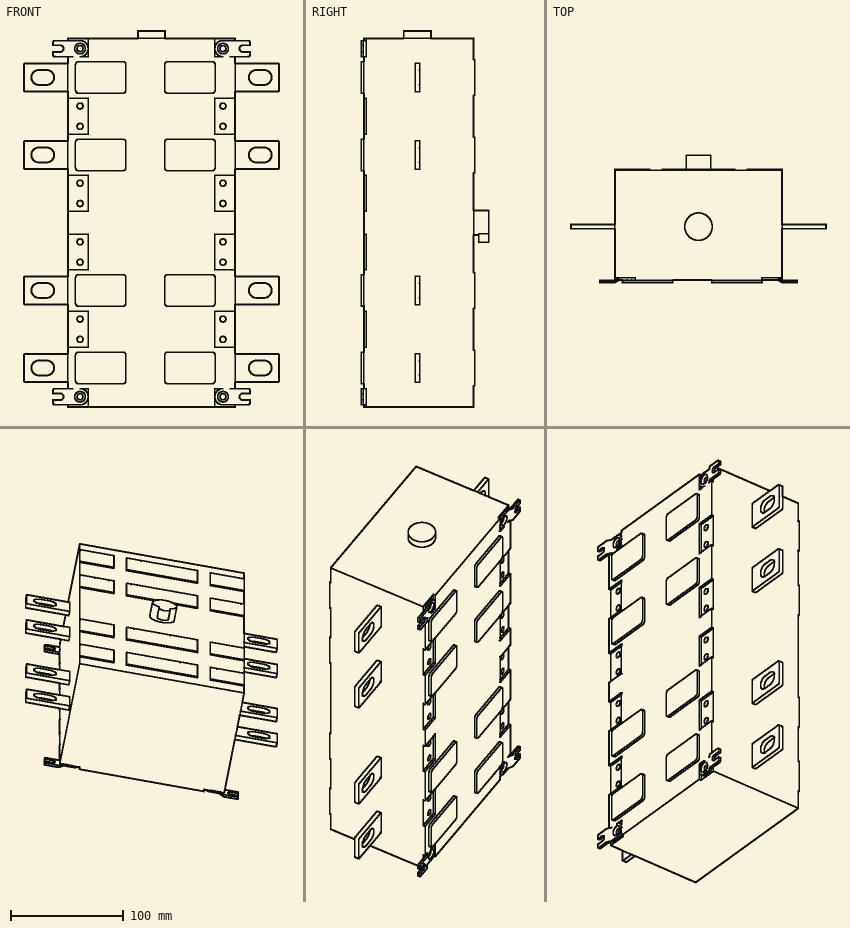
import cadquery as cq

BODY_WIDTH = 149.0
BODY_DEPTH = 97.8
BODY_HEIGHT = 328.3
SIDE = BODY_WIDTH / 2
MID_Z = BODY_HEIGHT / 2
OVERALL_WIDTH = 227.0
OVERALL_HEIGHT = 335.0

POLE_OFFSETS = (-129.3, -60.3, 60.3, 129.3)
POLE_HEIGHTS = [MID_Z + offset for offset in POLE_OFFSETS]

BAR_HEIGHT = 25.0
BAR_THICKNESS = 4.0
BAR_CORNER_RADIUS = 1.0
BAR_SLOT_LENGTH = 20.0
BAR_SLOT_HEIGHT = 13.0
BAR_SLOT_X = 96.8
AXIS_Y = 47.5

TOP_BOSS_DIAMETER = 24.5

PLATE_WIDTH = 45.0
PLATE_HEIGHT = 28.0
PLATE_RAISE = 2.5
PLATE_CORNER_RADIUS = 2.7
PLATE_CENTRES_X = (-45.2, 34.2)

BAND_HEIGHT = 31.8
BAND_RAISE = 1.0
BAND_GAP_WIDTH = 11.5
BAND_GAP_X = 38.0

RECESS_WIDTH = 18.0
RECESS_HEIGHT = 31.8
RECESS_DEPTH = 2.0
RECESS_OFFSETS = (-94.8, -26.0, 26.0, 94.8)
RECESS_HOLE_DIAMETER = 5.5
RECESS_HOLE_DEPTH = 3.5
RECESS_HOLE_SPACING = 18.0
HOLE_X = 63.5

FOOT_HEIGHT = 14.5
FOOT_END_GAP = 2.0
FOOT_TIP_X = 87.8
FOOT_JOGGLE_OUTER_X = 74.7
FOOT_JOGGLE_INNER_X = 70.7
FOOT_BEND_RADIUS = 2.5
FOOT_THICKNESS = RECESS_DEPTH
FOOT_TIP_RADIUS = 1.7
FOOT_END_RADIUS = 7.0
FOOT_FORK_WIDTH = 5.7
FOOT_FORK_END_X = 78.5
FOOT_HOLE_DIAMETER = 5.5
FOOT_SINK_DIAMETER = 9.5
POCKET_HEIGHT = FOOT_END_GAP + FOOT_HEIGHT

KNOB_DIAMETER = 22.0
KNOB_LENGTH = 13.5
POINTER_WIDTH = 10.0
POINTER_REACH = 17.5
POINTER_THICKNESS = 9.0


def block(x_range, y_range, z_range):
    """Box spanning the given ranges."""
    (x0, x1), (y0, y1), (z0, z1) = x_range, y_range, z_range
    return cq.Workplane("XY").box(x1 - x0, y1 - y0, z1 - z0, centered=False).translate((x0, y0, z0))


def facing_back(y):
    """XZ sketch plane at depth y whose extrusions run toward +Y; sketch y is -Z."""
    return cq.Workplane(cq.Plane(origin=(0, y, 0), xDir=(1, 0, 0), normal=(0, 1, 0)))


def disc(x, y, z, diameter, length):
    """Cylinder along +Y whose near end is centred on the given point."""
    return facing_back(y).center(x, -z).circle(diameter / 2).extrude(length)


def terminal_bars(z):
    """Bar through the housing, slotted at both projecting ends."""
    bar = cq.Workplane("XY").box(OVERALL_WIDTH, BAR_THICKNESS, BAR_HEIGHT)
    bar = bar.edges("|Y").fillet(BAR_CORNER_RADIUS)
    slots = (
        facing_back(-BAR_THICKNESS)
        .pushPoints([(-BAR_SLOT_X, 0), (BAR_SLOT_X, 0)])
        .slot2D(BAR_SLOT_LENGTH, BAR_SLOT_HEIGHT)
        .extrude(2 * BAR_THICKNESS)
    )
    return bar.cut(slots).translate((0, AXIS_Y, z))


def front_plates(z):
    """Pair of rounded plates on the front face; they start inside the housing."""
    plates = (
        facing_back(-PLATE_RAISE)
        .pushPoints([(x, -z) for x in PLATE_CENTRES_X])
        .rect(PLATE_WIDTH, PLATE_HEIGHT)
        .extrude(2 * PLATE_RAISE)
    )
    return plates.edges("|Y").fillet(PLATE_CORNER_RADIUS)


def back_band(z):
    """Raised band across the back face with its two gaps cut out."""
    y_range = (BODY_DEPTH, BODY_DEPTH + BAND_RAISE)
    z_range = (z - BAND_HEIGHT / 2, z + BAND_HEIGHT / 2)
    band = block((-SIDE, SIDE), y_range, z_range)
    for x in (-BAND_GAP_X, BAND_GAP_X):
        gap = (x - BAND_GAP_WIDTH / 2, x + BAND_GAP_WIDTH / 2)
        band = band.cut(block(gap, y_range, z_range))
    return band


def right_recess(z):
    """Cutter for one recess and its two holes at the +X edge."""
    z_range = (z - RECESS_HEIGHT / 2, z + RECESS_HEIGHT / 2)
    cutter = block((SIDE - RECESS_WIDTH, SIDE), (0, RECESS_DEPTH), z_range)
    for dz in (-RECESS_HOLE_SPACING / 2, RECESS_HOLE_SPACING / 2):
        cutter = cutter.union(
            disc(HOLE_X, 0, z + dz, RECESS_HOLE_DIAMETER, RECESS_DEPTH + RECESS_HOLE_DEPTH)
        )
    return cutter


def top_right_foot():
    """Joggled sheet-metal foot with a forked outer end and a countersunk inner end."""
    z = BODY_HEIGHT - FOOT_END_GAP - FOOT_HEIGHT / 2
    inner_x = SIDE - RECESS_WIDTH
    seat_y = RECESS_DEPTH
    seat_front_y = seat_y - FOOT_THICKNESS
    arm_front_y = -PLATE_RAISE
    arm_back_y = arm_front_y + FOOT_THICKNESS
    foot = (
        cq.Workplane("XY")
        .polyline([
            (inner_x, seat_y),
            (FOOT_JOGGLE_INNER_X, seat_y),
            (FOOT_JOGGLE_OUTER_X, arm_back_y),
            (FOOT_TIP_X, arm_back_y),
            (FOOT_TIP_X, arm_front_y),
            (FOOT_JOGGLE_OUTER_X, arm_front_y),
            (FOOT_JOGGLE_INNER_X, seat_front_y),
            (inner_x, seat_front_y),
        ])
        .close()
        .extrude(FOOT_HEIGHT)
        .translate((0, 0, z - FOOT_HEIGHT / 2))
    )
    bends = foot.edges("|Z").edges(
        cq.selectors.BoxSelector(
            (FOOT_JOGGLE_INNER_X - FOOT_THICKNESS, arm_front_y - FOOT_THICKNESS, z - FOOT_HEIGHT),
            (FOOT_JOGGLE_OUTER_X + FOOT_THICKNESS, seat_y + FOOT_THICKNESS, z + FOOT_HEIGHT),
        )
    )
    foot = bends.fillet(FOOT_BEND_RADIUS)
    foot = foot.edges("|Y and >X").fillet(FOOT_TIP_RADIUS)
    foot = foot.edges("|Y and <X").fillet(FOOT_END_RADIUS)

    fork_radius = FOOT_FORK_WIDTH / 2
    fork_x = FOOT_FORK_END_X + fork_radius
    fork_y = (arm_front_y, arm_back_y)
    fork = block((fork_x, FOOT_TIP_X), fork_y, (z - fork_radius, z + fork_radius))
    fork = fork.union(disc(fork_x, arm_front_y, z, FOOT_FORK_WIDTH, FOOT_THICKNESS))

    countersink = (
        facing_back(seat_front_y)
        .center(HOLE_X, -z)
        .circle(FOOT_SINK_DIAMETER / 2)
        .workplane(offset=FOOT_THICKNESS)
        .circle(FOOT_HOLE_DIAMETER / 2)
        .loft()
    )
    return foot.cut(fork).cut(countersink)


def at_both_sides(shape):
    """The shape together with its mirror image across the YZ plane."""
    return shape.union(shape.mirror("YZ"))


def at_four_corners(shape):
    """The shape repeated at the other three corners of the front face."""
    pair = at_both_sides(shape)
    return pair.union(pair.mirror("XY", (0, 0, MID_Z)))


def knob():
    """Round knob with a round-ended pointer flush with its outer end."""
    outer_y = BODY_DEPTH + KNOB_LENGTH
    pointer_y = outer_y - POINTER_THICKNESS
    end_z = MID_Z - POINTER_REACH + POINTER_WIDTH / 2
    half = POINTER_WIDTH / 2
    pointer = block((-half, half), (pointer_y, outer_y), (end_z, MID_Z))
    pointer = pointer.union(disc(0, pointer_y, end_z, POINTER_WIDTH, POINTER_THICKNESS))
    return disc(0, BODY_DEPTH, MID_Z, KNOB_DIAMETER, KNOB_LENGTH).union(pointer)


body = block((-SIDE, SIDE), (0, BODY_DEPTH), (0, BODY_HEIGHT))
for offset in RECESS_OFFSETS:
    body = body.cut(at_both_sides(right_recess(MID_Z + offset)))
corner_pocket = block(
    (SIDE - RECESS_WIDTH, SIDE), (0, RECESS_DEPTH), (BODY_HEIGHT - POCKET_HEIGHT, BODY_HEIGHT)
)
body = body.cut(at_four_corners(corner_pocket))

for pole_z in POLE_HEIGHTS:
    body = body.union(terminal_bars(pole_z))
    body = body.union(front_plates(pole_z))
    body = body.union(back_band(pole_z))

body = body.union(at_four_corners(top_right_foot()))
body = body.union(knob())
top_boss = (
    cq.Workplane("XY", origin=(0, AXIS_Y, BODY_HEIGHT))
    .circle(TOP_BOSS_DIAMETER / 2)
    .extrude(OVERALL_HEIGHT - BODY_HEIGHT)
)
result = body.union(top_boss)